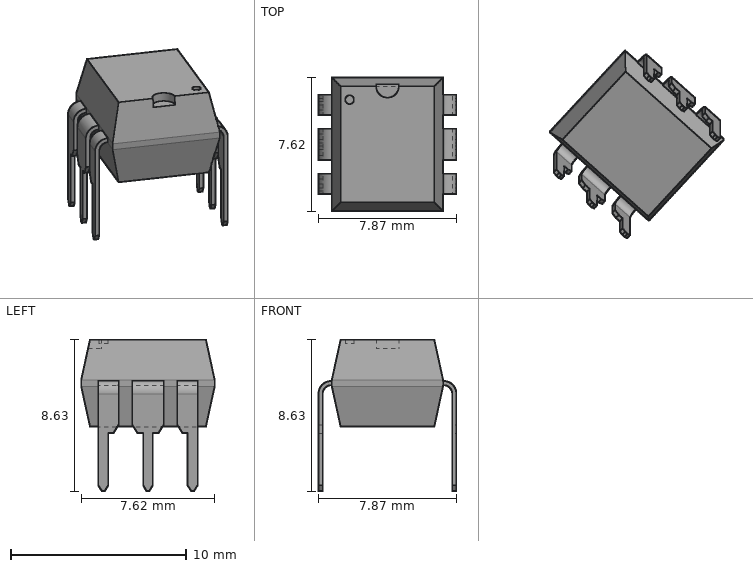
import cadquery as cq

total_height = 8.63
lead_span = 7.87

housing_width = 6.35
housing_length = 7.62
housing_height = 4.95
band_height = 0.36
taper_inset = 0.5

notch_radius = 0.65
notch_depth = 0.5
dot_diameter = 0.5
dot_depth = 0.2
dot_x = -2.16

lead_thickness = 0.25
bend_inner_radius = 0.48
lead_pitch = 2.55
end_leg_width = 0.59
middle_leg_width = 0.56
end_shoulder_width = 1.17
middle_shoulder_width = 1.8
shoulder_bottom_z = 3.305
shoulder_chamfer_height = 0.48
shoulder_chamfer_width = 0.29
tip_width = 0.17
tip_height = 0.33

half_height = (housing_height - band_height) / 2
housing_middle_z = total_height - housing_height / 2
band_top_z = housing_middle_z + band_height / 2
band_bottom_z = housing_middle_z - band_height / 2
top_width = housing_width - 2 * taper_inset
top_length = housing_length - 2 * taper_inset
lead_top_z = housing_middle_z + lead_thickness / 2
lead_outer_x = lead_span / 2
bend_outer_radius = bend_inner_radius + lead_thickness
bend_center_x = lead_outer_x - bend_outer_radius
bend_center_z = lead_top_z - bend_outer_radius


def make_tapered_half(base_z, height):
    """Frustum from the band at base_z to its smaller end face; a negative height points down."""
    return (
        cq.Workplane("XY", origin=(0, 0, base_z))
        .rect(housing_width, housing_length)
        .workplane(offset=height)
        .rect(top_width, top_length)
        .loft(ruled=True, combine=True)
    )


def make_notch_cutter():
    """Round pocket centred on the +Y edge of the top face."""
    return (
        cq.Workplane("XY", origin=(0, top_length / 2, total_height))
        .circle(notch_radius)
        .extrude(-notch_depth)
    )


def make_dot_cutter():
    """Shallow round dimple marking the first lead, level with its leg."""
    return (
        cq.Workplane("XY", origin=(dot_x, lead_pitch, total_height))
        .circle(dot_diameter / 2)
        .extrude(-dot_depth)
    )


def make_housing():
    band = (
        cq.Workplane("XY", origin=(0, 0, band_bottom_z))
        .rect(housing_width, housing_length)
        .extrude(band_height)
    )
    upper_half = make_tapered_half(band_top_z, half_height)
    lower_half = make_tapered_half(band_bottom_z, -half_height)
    blank = band.union(upper_half).union(lower_half)
    return blank.cut(make_notch_cutter()).cut(make_dot_cutter())


def make_bent_strip():
    """Strip on the +X side: a short stub out of the wall, a quarter bend, then straight down to Z = 0.

    It spans the whole housing length; each lead is a piece of it."""
    wall_x = housing_width / 2
    return (
        cq.Workplane("XZ")
        .moveTo(wall_x, lead_top_z)
        .lineTo(bend_center_x, lead_top_z)
        .radiusArc((lead_outer_x, bend_center_z), bend_outer_radius)
        .lineTo(lead_outer_x, 0)
        .lineTo(lead_outer_x - lead_thickness, 0)
        .lineTo(lead_outer_x - lead_thickness, bend_center_z)
        .radiusArc((bend_center_x, lead_top_z - lead_thickness), -bend_inner_radius)
        .lineTo(wall_x, lead_top_z - lead_thickness)
        .close()
        .extrude(housing_length / 2, both=True)
    )


def make_leg_outline(leg_width):
    """Straight leg with a pointed, blunt-ended tip, centred on Y = 0, as a prism along X."""
    half_leg = leg_width / 2
    half_tip = tip_width / 2
    return (
        cq.Workplane("YZ")
        .moveTo(-half_tip, 0)
        .lineTo(half_tip, 0)
        .lineTo(half_leg, tip_height)
        .lineTo(half_leg, lead_top_z)
        .lineTo(-half_leg, lead_top_z)
        .lineTo(-half_leg, tip_height)
        .close()
        .extrude(lead_span)
    )


def make_shoulder_outline(min_y, max_y):
    """Wide upper stretch of a lead with both lower corners chamfered, as a prism along X."""
    chamfer_top_z = shoulder_bottom_z + shoulder_chamfer_height
    return (
        cq.Workplane("YZ")
        .moveTo(min_y + shoulder_chamfer_width, shoulder_bottom_z)
        .lineTo(max_y - shoulder_chamfer_width, shoulder_bottom_z)
        .lineTo(max_y, chamfer_top_z)
        .lineTo(max_y, lead_top_z)
        .lineTo(min_y, lead_top_z)
        .lineTo(min_y, chamfer_top_z)
        .close()
        .extrude(lead_span)
    )


def make_middle_lead():
    """Lead whose shoulder is wider than the leg on both sides."""
    half_shoulder = middle_shoulder_width / 2
    outline = make_leg_outline(middle_leg_width).union(
        make_shoulder_outline(-half_shoulder, half_shoulder)
    )
    return make_bent_strip().intersect(outline)


def make_end_lead():
    """Lead at the +Y end: flush on its outer side, with the shoulder reaching toward the middle lead."""
    outer_y = end_leg_width / 2
    outline = make_leg_outline(end_leg_width).union(
        make_shoulder_outline(outer_y - end_shoulder_width, outer_y)
    )
    return make_bent_strip().intersect(outline.translate((0, lead_pitch, 0)))


housing = make_housing()

middle_lead = make_middle_lead()
end_lead = make_end_lead()
right_row = [end_lead, middle_lead, end_lead.mirror("XZ")]
leads = []
for lead in right_row:
    leads.append(lead.solids().val())
    leads.append(lead.mirror("YZ").solids().val())

result = cq.Compound.makeCompound([housing.solids().val(), *leads])